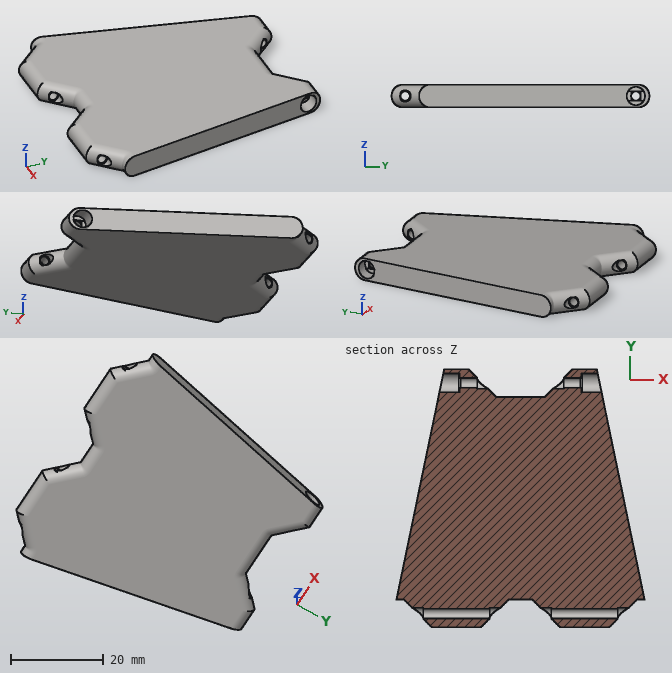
import cadquery as cq

length = 56.0
thickness = 5.0
front_half_width = 26.95
rear_half_width = 16.6
knuckle_depth = 6.0
rear_notch_half_width = 5.25
front_notch_half_width = 2.6
knuckle_width = 10.7
pin_inset = 2.95
pin_diameter = 2.0
head_diameter = 4.0
head_seat_x = 13.45
corner_radius = 0.05
rim_flat = 0.01
mouth_diameter = 2.45
mouth_depth = 1.1
slot_width = 2.1
seat_step = 0.2

rear_y = length / 2
front_y = -length / 2
rear_floor_y = rear_y - knuckle_depth
front_floor_y = front_y + knuckle_depth
rear_tip_x = rear_notch_half_width + knuckle_depth
knuckle_inner_x = front_notch_half_width + knuckle_depth
knuckle_outer_x = knuckle_inner_x + knuckle_width
outer_notch_x = knuckle_outer_x + knuckle_depth


def mirrored(points):
    """Continue a chain of points across the centre plane, in order."""
    return points + [(-x, y) for x, y in reversed(points)]


front_chain = mirrored([
    (-front_half_width, front_floor_y),
    (-outer_notch_x, front_floor_y),
    (-knuckle_outer_x, front_y),
    (-knuckle_inner_x, front_y),
    (-front_notch_half_width, front_floor_y),
])
rear_chain = mirrored([
    (-rear_half_width, rear_y),
    (-rear_tip_x, rear_y),
    (-rear_notch_half_width, rear_floor_y),
])
inner_corners = [
    (x, y)
    for x, y in front_chain[1:-1] + rear_chain[1:-1]
    if y in (front_floor_y, rear_floor_y)
]


def pin_hole(y):
    """Through hole along X at the given Y."""
    return (
        cq.Workplane("YZ", origin=(0, y, 0))
        .circle(pin_diameter / 2)
        .extrude(front_half_width, both=True)
    )


def pin_mouth(slope_x, y, outward):
    """Wider mouth of a pin hole at a knuckle slope; outward is its sign along X."""
    floor_x = slope_x - outward * mouth_depth
    mouth = cq.Workplane("YZ", origin=(floor_x, y, 0)).circle(mouth_diameter / 2)
    return mouth.extrude(outward * (2 * mouth_depth + mouth_diameter / 2))


def head_recess():
    """Recess in the left flank, stepping through a slot and a square to the pin hole."""
    flank = cq.Workplane("YZ", origin=(-front_half_width, rear_y - pin_inset, 0))
    depth = front_half_width - head_seat_x
    recess = flank.circle(head_diameter / 2).extrude(depth)
    slot = (
        flank.circle(head_diameter / 2)
        .extrude(depth + seat_step)
        .intersect(flank.rect(length, slot_width).extrude(depth + seat_step))
    )
    square = flank.rect(slot_width, slot_width).extrude(depth + 2 * seat_step)
    return recess.union(slot).union(square)


result = (
    cq.Workplane("XY")
    .polyline(front_chain + rear_chain[::-1])
    .close()
    .extrude(thickness / 2, both=True)
)
for x, y in inner_corners:
    corner_box = cq.selectors.BoxSelector(
        (x - corner_radius, y - corner_radius, -thickness),
        (x + corner_radius, y + corner_radius, thickness),
    )
    result = result.edges("|Z").edges(corner_box).fillet(corner_radius)

rim_middles = (front_y + knuckle_depth / 2, rear_y - knuckle_depth / 2)
rim_reach = knuckle_depth / 2 + corner_radius
for rim_y in rim_middles:
    rim_box = cq.selectors.BoxSelector(
        (-length, rim_y - rim_reach, -thickness),
        (length, rim_y + rim_reach, thickness),
    )
    result = result.edges("#Z").edges(rim_box).fillet((thickness - rim_flat) / 2)

for pin_y in (front_y + pin_inset, rear_y - pin_inset):
    result = result.cut(pin_hole(pin_y))
left_mouths = [
    pin_mouth(-knuckle_outer_x - pin_inset, front_y + pin_inset, -1),
    pin_mouth(-knuckle_inner_x + pin_inset, front_y + pin_inset, 1),
    pin_mouth(-rear_tip_x + pin_inset, rear_y - pin_inset, 1),
]
for mouth in left_mouths:
    result = result.cut(mouth)
    result = result.cut(mouth.mirror("YZ"))
left_recess = head_recess()
result = result.cut(left_recess)
result = result.cut(left_recess.mirror("YZ"))